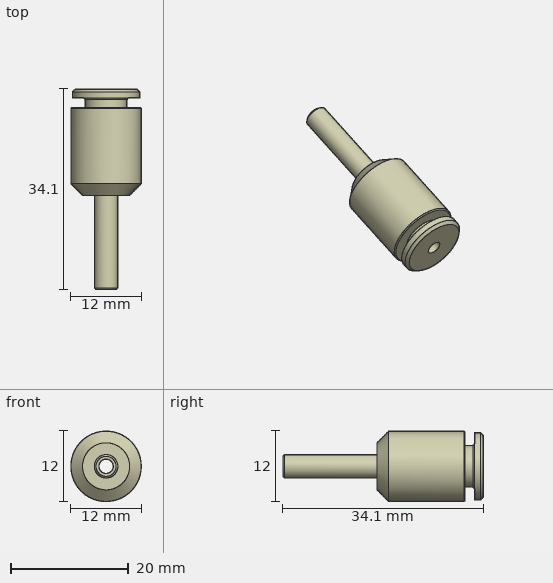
import cadquery as cq


STEM_DIAMETER = 4.0
STEM_LENGTH = 16.0
STEM_CHAMFER = 0.3

BODY_DIAMETER = 12.0
BODY_LENGTH = 15.0
BODY_NOSE_CHAMFER = 2.0
BODY_REAR_CHAMFER = 0.2

NECK_DIAMETER = 7.1
NECK_LENGTH = 1.6
NECK_FLARE = 0.3
FLANGE_DIAMETER = 11.5
FLANGE_THICKNESS = 1.5
FLANGE_CHAMFER = 0.5

BORE_DIAMETER = 2.4

BODY_START = STEM_LENGTH
BODY_END = BODY_START + BODY_LENGTH
FLANGE_START = BODY_END + NECK_LENGTH
TOTAL_LENGTH = FLANGE_START + FLANGE_THICKNESS


def cylinder(diameter, start, length):
    """Cylinder about the Y axis, running from start towards +Y."""
    profile = cq.Workplane("XZ", origin=(0, start, 0)).circle(diameter / 2)
    return profile.extrude(-length)


def make_stem():
    stem = cylinder(STEM_DIAMETER, 0, STEM_LENGTH)
    return stem.faces("<Y").chamfer(STEM_CHAMFER)


def make_body():
    body = cylinder(BODY_DIAMETER, BODY_START, BODY_LENGTH)
    body = body.faces("<Y").chamfer(BODY_NOSE_CHAMFER)
    return body.faces(">Y").chamfer(BODY_REAR_CHAMFER)


def make_neck():
    """Neck that flares in a 45 degree cone where it meets the flange."""
    radius = NECK_DIAMETER / 2
    return (
        cq.Workplane("XY")
        .moveTo(0, BODY_END)
        .lineTo(radius, BODY_END)
        .lineTo(radius, FLANGE_START - NECK_FLARE)
        .lineTo(radius + NECK_FLARE, FLANGE_START)
        .lineTo(0, FLANGE_START)
        .close()
        .revolve(360, (0, 0, 0), (0, 1, 0))
    )


def make_flange():
    flange = cylinder(FLANGE_DIAMETER, FLANGE_START, FLANGE_THICKNESS)
    return flange.faces(">Y").chamfer(FLANGE_CHAMFER)


outer = make_stem().union(make_body()).union(make_neck()).union(make_flange())
result = outer.cut(cylinder(BORE_DIAMETER, 0, TOTAL_LENGTH))